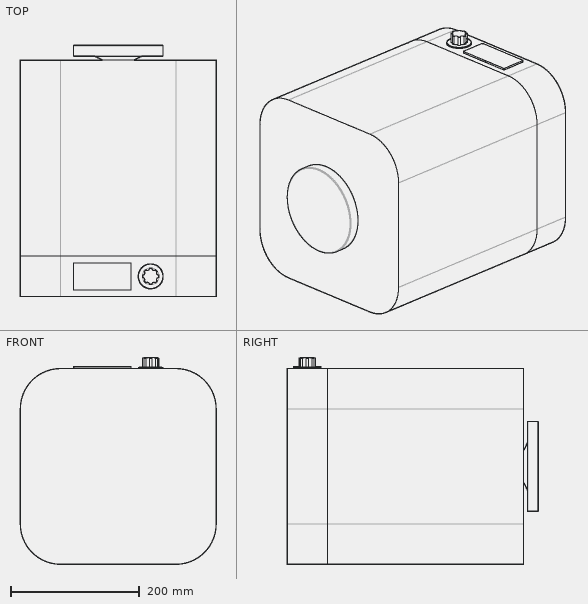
import cadquery as cq
import math

cabinet_side = 305.0
corner_radius = 63.0
housing_depth = 305.0
cover_depth = 63.0

screen_width = 89.5
screen_depth = 42.2
screen_height = 2.7
screen_center_x = -24.5

knob_center_x = 50.5
flange_diameter = 39.0
flange_rim_diameter = 38.0
flange_rim_height = 1.5
flange_height = 2.5
grip_diameter = 25.8
grip_edge_chamfer = 0.8
knob_height = 17.2
crown_rise = 0.8
flute_diameter = 6.3
flute_depth = 2.7
flute_count = 8

wheel_diameter = 140.0
wheel_thickness = 17.2
wheel_edge_radius = 1.0
neck_length = 6.0
neck_wall_diameter = 49.3
neck_wheel_diameter = 74.3

front_y = 0.0
joint_y = front_y + cover_depth
rear_y = joint_y + housing_depth
top_z = cabinet_side / 2
control_center_y = front_y + cover_depth / 2


def cabinet_section(start_y, depth):
    """Rounded square block that runs from start_y toward +Y."""
    return (
        cq.Workplane("XZ", origin=(0, start_y, 0))
        .rect(cabinet_side, cabinet_side)
        .extrude(-depth)
        .edges("|Y")
        .fillet(corner_radius)
    )


def make_screen():
    """Flat rectangular plate lying on the front cover."""
    return (
        cq.Workplane("XY", origin=(screen_center_x, control_center_y, top_z))
        .rect(screen_width, screen_depth)
        .extrude(screen_height)
    )


def make_knob():
    """Fluted grip with a slightly domed top, standing on a low conical flange."""
    grip_radius = grip_diameter / 2
    crown_edge_radius = grip_radius - grip_edge_chamfer
    shoulder_height = knob_height - crown_rise
    crown_radius = (crown_edge_radius**2 + crown_rise**2) / (2 * crown_rise)
    arc_mid_x = crown_edge_radius / 2
    arc_mid_z = knob_height - crown_radius + math.sqrt(crown_radius**2 - arc_mid_x**2)
    body = (
        cq.Workplane("XZ")
        .moveTo(0, 0)
        .lineTo(flange_diameter / 2, 0)
        .lineTo(flange_rim_diameter / 2, flange_rim_height)
        .lineTo(grip_radius, flange_height)
        .lineTo(grip_radius, shoulder_height - grip_edge_chamfer)
        .lineTo(crown_edge_radius, shoulder_height)
        .threePointArc((arc_mid_x, arc_mid_z), (0, knob_height))
        .close()
        .revolve(360, (0, 0, 0), (0, 1, 0))
    )
    flute_circle_radius = grip_radius + flute_diameter / 2 - flute_depth
    flutes = (
        cq.Workplane("XY", origin=(0, 0, flange_height))
        .polarArray(flute_circle_radius, 180 / flute_count, 360, flute_count)
        .circle(flute_diameter / 2)
        .extrude(knob_height)
    )
    return body.cut(flutes).translate((knob_center_x, control_center_y, top_z))


def make_wheel():
    """Disc with rounded rims, held off the rear wall by a flaring neck."""
    neck = (
        cq.Workplane("XZ", origin=(0, rear_y, 0))
        .circle(neck_wall_diameter / 2)
        .workplane(offset=-neck_length)
        .circle(neck_wheel_diameter / 2)
        .loft()
    )
    disc = (
        cq.Workplane("XZ", origin=(0, rear_y + neck_length, 0))
        .circle(wheel_diameter / 2)
        .extrude(-wheel_thickness)
        .edges()
        .fillet(wheel_edge_radius)
    )
    return neck.union(disc)


cover = cabinet_section(front_y, cover_depth)
housing = cabinet_section(joint_y, housing_depth)
screen = make_screen()
knob = make_knob()
wheel = make_wheel()

result = cq.Compound.makeCompound(
    [cover.val(), housing.val(), screen.val(), knob.val(), wheel.val()]
)